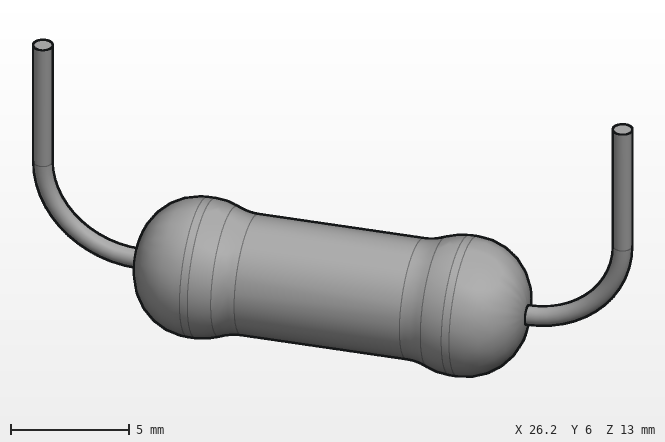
import cadquery as cq
import math

overall_length = 26.2
wire_radius = 0.42
overall_height = 13.0
body_half_length = 8.52
cap_diameter = 6.0
barrel_radius = 2.6
end_round_radius = 2.62
crest_inner_x = 5.55
barrel_half_length = 3.62

cap_radius = cap_diameter / 2
wire_top_z = overall_height - cap_radius
end_face_radius = cap_radius - end_round_radius
crest_outer_x = body_half_length - end_round_radius
shoulder_mid_x = (crest_inner_x + barrel_half_length) / 2
shoulder_mid_radius = (cap_radius + barrel_radius) / 2
leg_x = overall_length / 2 - wire_radius
bend_radius = leg_x - body_half_length


def make_wire():
    """One round wire, straight through the body and bent up at both ends."""
    bend_offset = bend_radius * math.sqrt(0.5)
    bend_mid_x = body_half_length + bend_offset
    bend_mid_z = bend_radius - bend_offset
    path = (
        cq.Workplane("XZ")
        .moveTo(-leg_x, wire_top_z)
        .lineTo(-leg_x, bend_radius)
        .threePointArc((-bend_mid_x, bend_mid_z), (-body_half_length, 0))
        .lineTo(body_half_length, 0)
        .threePointArc((bend_mid_x, bend_mid_z), (leg_x, bend_radius))
        .lineTo(leg_x, wire_top_z)
    )
    return (
        cq.Workplane("XY", origin=(-leg_x, 0, wire_top_z))
        .circle(wire_radius)
        .sweep(path)
    )


def make_body():
    """Turned body with two rounded caps, a narrower barrel and a bore for the wire."""
    profile = (
        cq.Workplane("XZ")
        .moveTo(-body_half_length, 0)
        .lineTo(-body_half_length, end_face_radius)
        .tangentArcPoint((-crest_outer_x, cap_radius), relative=False)
        .lineTo(-crest_inner_x, cap_radius)
        .tangentArcPoint((-shoulder_mid_x, shoulder_mid_radius), relative=False)
        .tangentArcPoint((-barrel_half_length, barrel_radius), relative=False)
        .lineTo(barrel_half_length, barrel_radius)
        .tangentArcPoint((shoulder_mid_x, shoulder_mid_radius), relative=False)
        .tangentArcPoint((crest_inner_x, cap_radius), relative=False)
        .lineTo(crest_outer_x, cap_radius)
        .tangentArcPoint((body_half_length, end_face_radius), relative=False)
        .lineTo(body_half_length, 0)
        .close()
    )
    body = profile.revolve(360, (0, 0, 0), (1, 0, 0))
    bore = (
        cq.Workplane("YZ", origin=(-body_half_length, 0, 0))
        .circle(wire_radius)
        .extrude(2 * body_half_length)
    )
    return body.cut(bore)


body = make_body()
wire = make_wire()

result = cq.Compound.makeCompound([body.val(), wire.val()])